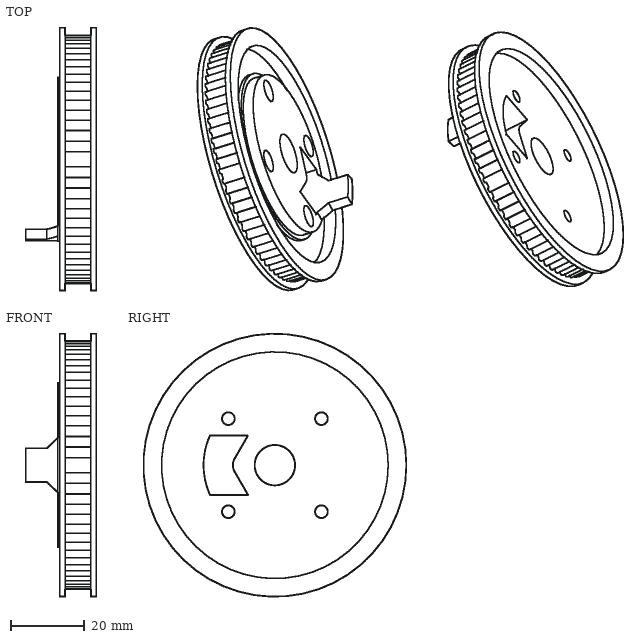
import cadquery as cq
import math


tooth_count = 72
belt_pitch = 3.0
pitch_line_offset = 0.381
belt_radius = tooth_count * belt_pitch / (2 * math.pi) - pitch_line_offset
belt_track_width = 7.0
groove_depth = 1.28
groove_floor_half_width = 0.27
groove_root_radius = 0.59
groove_mouth_half_width = 1.135
groove_lip_radius = 0.26
groove_cut_overrun = 0.5

flange_radius = 36.0
flange_thickness = 1.5
pulley_width = belt_track_width + 2 * flange_thickness

recess_radius = 31.0
front_recess_depth = 3.5
back_recess_depth = 3.0
web_back = pulley_width - back_recess_depth
shoulder_radius = 23.75
shoulder_height = 1.0
plate_radius = 22.5
plate_face = -0.5

bore_radius = 5.5
bolt_circle_radius = 18.0
bolt_count = 4
bolt_hole_radius = 1.7
counterbore_radius = 3.0
counterbore_depth = 3.5

window_half_height = 8.1
window_outer_radius = 19.5
window_v_apex = 12.07
window_v_half_angle = 60.0
window_v_fillet = 3.5

tab_outer_radius = 22.3
tab_half_angle = 12.0
tab_length = 8.8
tab_flare = 3.0


def disc(radius, x_start, x_end):
    """Solid cylinder about the X axis."""
    return cq.Workplane("YZ", origin=(x_start, 0, 0)).circle(radius).extrude(x_end - x_start)


def belt_groove():
    """Cutter for one belt groove with a narrow flat floor, centred on the -Y side of the track."""
    root_centre_depth = groove_depth - groove_root_radius
    lip_run = groove_mouth_half_width - groove_floor_half_width
    lip_rise = groove_lip_radius - root_centre_depth
    centre_distance = math.hypot(lip_run, lip_rise)
    tangent_turn = math.acos((groove_root_radius + groove_lip_radius) / centre_distance)
    flank_angle = math.atan2(lip_rise, lip_run) + tangent_turn
    root_mid_angle = (flank_angle + math.pi / 2) / 2
    lip_end_angle = flank_angle + math.pi
    lip_mid_angle = (lip_end_angle + 1.5 * math.pi) / 2

    mouth_radius = math.sqrt(belt_radius**2 - groove_mouth_half_width**2)

    def place(offset, depth):
        return (depth - mouth_radius, offset)

    def root_point(angle, side):
        return place(
            side * (groove_floor_half_width + groove_root_radius * math.cos(angle)),
            root_centre_depth + groove_root_radius * math.sin(angle),
        )

    def lip_point(angle, side):
        return place(
            side * (groove_mouth_half_width + groove_lip_radius * math.cos(angle)),
            groove_lip_radius * (1 + math.sin(angle)),
        )

    return (
        cq.Workplane("YZ", origin=(flange_thickness, 0, 0))
        .moveTo(*place(-groove_mouth_half_width, -groove_cut_overrun))
        .lineTo(*place(-groove_mouth_half_width, 0))
        .threePointArc(lip_point(lip_mid_angle, -1), lip_point(lip_end_angle, -1))
        .lineTo(*root_point(flank_angle, -1))
        .threePointArc(root_point(root_mid_angle, -1), place(-groove_floor_half_width, groove_depth))
        .lineTo(*place(groove_floor_half_width, groove_depth))
        .threePointArc(root_point(root_mid_angle, 1), root_point(flank_angle, 1))
        .lineTo(*lip_point(lip_end_angle, 1))
        .threePointArc(lip_point(lip_mid_angle, 1), place(groove_mouth_half_width, 0))
        .lineTo(*place(groove_mouth_half_width, -groove_cut_overrun))
        .close()
        .extrude(belt_track_width)
    )


def toothed_track():
    """Belt track with its grooves, between the two flanges."""
    track = disc(belt_radius, flange_thickness, flange_thickness + belt_track_width)
    groove = belt_groove()
    cutters = [
        groove.rotate((0, 0, 0), (1, 0, 0), index * 360 / tooth_count).val()
        for index in range(tooth_count)
    ]
    return cq.Workplane(track.val().cut(*cutters))


def pulley_body():
    """Flanged pulley with a recess in each face and a raised centre plate."""
    body = toothed_track()
    body = body.union(disc(flange_radius, 0, flange_thickness))
    body = body.union(disc(flange_radius, pulley_width - flange_thickness, pulley_width))
    body = body.cut(disc(recess_radius, 0, front_recess_depth))
    body = body.cut(disc(recess_radius, web_back, pulley_width))
    body = body.union(disc(shoulder_radius, front_recess_depth - shoulder_height, web_back))
    return body.union(disc(plate_radius, plate_face, web_back))


def bolt_holes():
    """Counterbored bolt holes, set on the diagonals around the bore."""
    hole = disc(bolt_hole_radius, plate_face, web_back)
    hole = hole.union(disc(counterbore_radius, plate_face, plate_face + counterbore_depth))
    hole = hole.translate((0, bolt_circle_radius, 0))
    angle_step = 360 / bolt_count
    holes = cq.Workplane()
    for index in range(bolt_count):
        holes = holes.add(hole.rotate((0, 0, 0), (1, 0, 0), (index + 0.5) * angle_step))
    return holes.combine()


def window():
    """Opening through the web: V-shaped on the bore side, round on the outer side."""
    v_depth = window_half_height / math.tan(math.radians(window_v_half_angle))
    tip_y = v_depth - window_v_apex
    opening = (
        cq.Workplane("YZ", origin=(plate_face, 0, 0))
        .moveTo(-window_v_apex, 0)
        .lineTo(tip_y, window_half_height)
        .lineTo(-window_outer_radius, window_half_height)
        .lineTo(-window_outer_radius, -window_half_height)
        .lineTo(tip_y, -window_half_height)
        .close()
        .extrude(web_back - plate_face)
        .edges(cq.selectors.NearestToPointSelector((web_back / 2, -window_v_apex, 0)))
        .fillet(window_v_fillet)
    )
    return opening.intersect(disc(window_outer_radius, plate_face, web_back))


def tab():
    """Curved tab along the window's outer edge, with radial sides flared at the root."""
    tip_x = plate_face - tab_length
    flare_x = plate_face - tab_flare
    body = disc(tab_outer_radius, tip_x, plate_face).cut(
        disc(window_outer_radius, tip_x, plate_face)
    )
    for side in (-1, 1):
        flared_side = (
            cq.Workplane("XZ")
            .moveTo(tip_x, 0)
            .lineTo(flare_x, 0)
            .lineTo(plate_face, side * tab_flare)
            .lineTo(plate_face, -side * tab_outer_radius)
            .lineTo(tip_x, -side * tab_outer_radius)
            .close()
            .extrude(flange_radius)
            .rotate((0, 0, 0), (1, 0, 0), -side * tab_half_angle)
        )
        body = body.intersect(flared_side)
    return body


result = (
    pulley_body()
    .union(tab())
    .cut(disc(bore_radius, plate_face, web_back))
    .cut(bolt_holes())
    .cut(window())
)